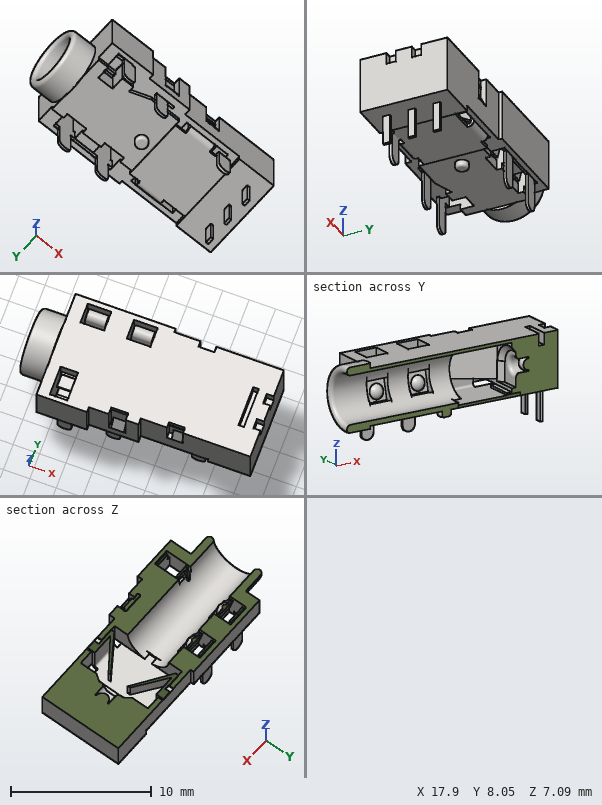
import cadquery as cq
import math


length = 17.9
height = 7.09
barrel_length = 2.0
barrel_radius = 5.0 / 2
lip_outer_round = 0.3
bore_radius = 3.7 / 2
lip_inner_round = 0.32
bore_end = 13.96

body_top = 2.11
body_underside = -1.83
foot_bottom = -2.25
front_left = 3.72
front_right = -4.33
middle_right = -3.94
rear_half_width = 3.45
first_step = 5.84
second_step = 9.6
rear_foot_start = 14.68

plinth_end = 9.49
plinth_left = 2.24
plinth_front_right = -2.85
plinth_rear_right = -2.92
plinth_notch_right = -2.36
plinth_taper_start = 5.26
plinth_taper_end = 6.87

peg_radius = 1.0 / 2
peg_x = 8.47
peg_bottom = -2.74
peg_round = 0.2

funnel_mouth_radius = 1.52
funnel_throat_radius = 1.1
funnel_length = 0.35
well_floor = -1.55
well_half_width = 1.11
well_mouth_half_width = 1.61
tip_hole_radius = 1.2 / 2
tip_hole_round = 0.29
tip_hole_depth = 1.07
stud_radius = 0.54

post_x = 16.43
post_thickness = 0.21
post_width = 0.54
post_pitch = 1.99
post_bottom = -4.53

top_pocket_x = 16.29
top_pocket_size = 0.41
top_pocket_width = 3.05
top_pocket_depth = 0.9
notch_length = 0.54
notch_width = 0.73
notch_offset = 1.0
notch_depth = 0.9

sheet = 0.2
leg_width = 1.04
leg_tip = barrel_radius - height
plate_top = -0.72

leaf_centres = (3.97, 7.48)
leaf_width = 1.52
leaf_window_width = 1.79
leaf_window_inner = 1.83
leaf_window_outer = 3.33
leaf_plate_outer = 3.3
leaf_arch_radius = 0.47
leaf_arch_z = 1.1
leaf_tip_y = 1.77
leaf_tip_z = -1.35
dimple_z = -0.68
dimple_base_radius = 0.57
dimple_height = 0.4
leaf_relief_inner = 1.35
leaf_relief_top = -0.18
leaf_relief_bottom = -1.43

sleeve_window_start = 2.9
sleeve_window_end = 4.22
sleeve_window_inner = -1.77
sleeve_window_outer = -4.0
sleeve_plate_outer = -3.94
sleeve_strip_start = 3.11
sleeve_strip_end = 4.17
sleeve_arch_radius = 0.4
sleeve_arch_z = 0.0
sleeve_shelf_top = 1.75
sleeve_shelf_start = -3.13
sleeve_tab_outer = -2.17
sleeve_tab_start = 3.03
sleeve_nose_y = -1.36
sleeve_nose_start = 3.2
sleeve_nose_radius = 0.5
sleeve_nose_top = 0.29
sleeve_nose_bottom = -0.52
front_leg_x = leaf_centres[0]

ring_plate_start = 6.96
ring_plate_outer = -3.4
ring_plate_top = 1.63
ring_window_start = 7.34
ring_window_end = 8.63
ring_window_bottom = -0.8
ring_barb_start = 7.5
ring_barb_end = 8.48
ring_barb_top = 0.07
middle_leg_x = leaf_centres[1]

clip_sheet = 0.25
clip_base_start = 9.49
clip_base_end = 14.68
clip_base_half_width = 2.5
clip_side_start = 10.45
clip_side_end = 12.71
clip_half_width = 3.03
clip_bend_radius = 0.43
clip_top = 1.41
clip_arm_bottom = -1.05
clip_arm_end = 13.42
clip_arm_gap = 0.75
clip_leg_x = 13.77
clip_leg_outer = -2.92
clip_leg_tip = -4.5
clip_leg_round = 0.1
clip_cavity_start = 10.1
clip_cavity_top = 1.6
clip_pad_start = 13.55
clip_pad_half_width = 1.79
clip_window_start = 11.58
clip_window_end = 12.78
clip_window_bottom = -0.15
clip_barb_start = 11.92
clip_barb_top = 0.77


def box(x0, x1, y0, y1, z0, z1):
    """Box between two opposite corners."""
    return cq.Workplane("XY").box(x1 - x0, y1 - y0, z1 - z0, centered=False).translate((x0, y0, z0))


def x_cylinder(x0, x1, radius):
    """Cylinder on the plug axis."""
    return cq.Workplane("YZ", origin=(x0, 0, 0)).circle(radius).extrude(x1 - x0)


def leg(x, y0, thickness, top, tip):
    """Flat solder leg with a half-round tip, from y0 to y0 + thickness."""
    half = leg_width / 2
    return (
        cq.Workplane("XZ", origin=(x, y0 + thickness, 0))
        .moveTo(-half, top)
        .lineTo(half, top)
        .lineTo(half, tip + half)
        .threePointArc((0, tip), (-half, tip + half))
        .close()
        .extrude(thickness)
    )


def barb(x0, x1, y_root, y_tip, bottom, top):
    """Wedge that leans out from y_root at its top to y_tip at its bottom."""
    return (
        cq.Workplane("YZ", origin=(x0, 0, 0))
        .polyline([(y_root, top), (y_root, bottom), (y_tip, bottom)])
        .close()
        .extrude(x1 - x0)
    )


def leaf_plate():
    start = leaf_centres[0] - leaf_window_width / 2
    end = leaf_centres[1] + leaf_window_width / 2
    return box(start, end, leaf_plate_outer - sheet, leaf_plate_outer, body_underside, plate_top)


def sleeve_plate():
    end = front_leg_x + leg_width / 2
    return box(sleeve_window_start, end, sleeve_plate_outer, sleeve_plate_outer + sheet,
               body_underside, plate_top)


def ring_plate():
    return box(ring_plate_start, ring_window_end, ring_plate_outer, ring_plate_outer + sheet,
               body_underside, ring_plate_top)


def housing_shell():
    """Outer shape: stepped block, plinth, rear foot, barrel, peg and rear posts."""
    outline = [
        (barrel_length, front_right),
        (first_step, front_right),
        (first_step, middle_right),
        (second_step, middle_right),
        (second_step, -rear_half_width),
        (length, -rear_half_width),
        (length, rear_half_width),
        (second_step, rear_half_width),
        (second_step, front_left),
        (barrel_length, front_left),
    ]
    shell = (
        cq.Workplane("XY", origin=(0, 0, body_underside))
        .polyline(outline)
        .close()
        .extrude(body_top - body_underside)
    )
    plinth = (
        cq.Workplane("XY", origin=(0, 0, foot_bottom))
        .polyline([
            (barrel_length, plinth_left),
            (barrel_length, plinth_front_right),
            (plinth_taper_start, plinth_front_right),
            (plinth_taper_start, plinth_notch_right),
            (plinth_taper_end, plinth_rear_right),
            (plinth_end, plinth_rear_right),
            (plinth_end, plinth_left),
        ])
        .close()
        .extrude(body_underside - foot_bottom)
    )
    foot = box(rear_foot_start, length, -rear_half_width, rear_half_width, foot_bottom, body_underside)
    barrel = x_cylinder(0, barrel_length, barrel_radius).faces("<X").edges().fillet(lip_outer_round)
    peg = (
        cq.Workplane("XY", origin=(peg_x, 0, peg_bottom))
        .circle(peg_radius)
        .extrude(foot_bottom - peg_bottom)
        .faces("<Z").edges().fillet(peg_round)
    )
    pad = box(clip_pad_start, rear_foot_start, -clip_pad_half_width, clip_pad_half_width,
              foot_bottom + clip_sheet, body_underside)
    shell = shell.union(plinth).union(foot).union(barrel).union(peg).union(pad)
    for row in (-1, 0, 1):
        y = row * post_pitch
        shell = shell.union(box(post_x, post_x + post_thickness, y - post_width / 2, y + post_width / 2,
                                post_bottom, foot_bottom))
    return shell


def plug_bore():
    """Main bore with a rounded mouth, then the funnel and the round-edged tip hole with a domed stud in it.

    Below the plug axis the funnel opens into a flat-backed well with sloping sides.
    """
    hole_start = bore_end + funnel_length
    hole_end = hole_start + tip_hole_depth
    mouth = bore_radius + lip_inner_round
    hole_mouth = tip_hole_radius + tip_hole_round
    diagonal = math.sqrt(0.5)
    lip_middle = (lip_inner_round * (1 - diagonal), mouth - lip_inner_round * diagonal)
    hole_middle = (hole_start + tip_hole_round * (1 - diagonal), hole_mouth - tip_hole_round * diagonal)
    well = (
        cq.Workplane("XY", origin=(0, 0, well_floor))
        .polyline([
            (bore_end, -well_mouth_half_width),
            (hole_start, -well_half_width),
            (hole_start, well_half_width),
            (bore_end, well_mouth_half_width),
        ])
        .close()
        .extrude(-well_floor)
    )
    round_bore = (
        cq.Workplane("XY")
        .lineTo(0, mouth)
        .threePointArc(lip_middle, (lip_inner_round, bore_radius))
        .lineTo(bore_end, bore_radius)
        .lineTo(bore_end, funnel_mouth_radius)
        .lineTo(hole_start, funnel_throat_radius)
        .lineTo(hole_start, hole_mouth)
        .threePointArc(hole_middle, (hole_start + tip_hole_round, tip_hole_radius))
        .lineTo(hole_end, tip_hole_radius)
        .lineTo(hole_end, stud_radius)
        .threePointArc((hole_end - stud_radius * diagonal, stud_radius * diagonal),
                       (hole_end - stud_radius, 0))
        .close()
        .revolve(360, (0, 0, 0), (1, 0, 0))
    )
    return round_bore.union(well)


def terminal_windows():
    """Openings for the springs and barbs of the terminals."""
    cuts = []
    for x in leaf_centres:
        cuts.append(box(x - leaf_window_width / 2, x + leaf_window_width / 2,
                        leaf_window_inner, leaf_window_outer, foot_bottom, body_top))
        cuts.append(box(x - leaf_window_width / 2, x + leaf_window_width / 2,
                        leaf_relief_inner, leaf_window_inner, leaf_relief_bottom, leaf_relief_top))
    cuts.append(box(sleeve_window_start, sleeve_window_end, sleeve_window_outer, sleeve_window_inner,
                    foot_bottom, body_top))
    cuts.append(box(ring_window_start, ring_window_end, middle_right, ring_plate_outer,
                    ring_window_bottom, body_top))
    clip_window = box(clip_window_start, clip_window_end, clip_half_width, rear_half_width,
                      clip_window_bottom, body_top)
    cuts.append(clip_window)
    cuts.append(clip_window.mirror("XZ"))
    return cuts


def rear_pockets():
    """Slot in the top face and the two notches in the rear edge."""
    cuts = [box(top_pocket_x, top_pocket_x + top_pocket_size, -top_pocket_width / 2, top_pocket_width / 2,
                body_top - top_pocket_depth, body_top)]
    for side in (-1, 1):
        y = side * notch_offset
        cuts.append(box(length - notch_length, length, y - notch_width / 2, y + notch_width / 2,
                        body_top - notch_depth, body_top))
    return cuts


def make_housing():
    clip_cavity = box(clip_cavity_start, bore_end, -clip_half_width, clip_half_width,
                      body_underside, clip_cavity_top)
    plate_slots = [leaf_plate(), sleeve_plate(), ring_plate()]
    body = housing_shell()
    for cut in [plug_bore(), clip_cavity, *plate_slots, *terminal_windows(), *rear_pockets()]:
        body = body.cut(cut)
    return body


def arched_leaf(x):
    outer = leaf_plate_outer
    arch_y = outer - leaf_arch_radius
    inside = leaf_arch_radius - sheet
    strip = (
        cq.Workplane("YZ", origin=(x - leaf_width / 2, 0, 0))
        .moveTo(outer, body_underside)
        .lineTo(outer, leaf_arch_z)
        .threePointArc((arch_y, leaf_arch_z + leaf_arch_radius), (arch_y - leaf_arch_radius, leaf_arch_z))
        .lineTo(leaf_tip_y, leaf_tip_z)
        .lineTo(leaf_tip_y + sheet, leaf_tip_z)
        .lineTo(arch_y - inside, leaf_arch_z)
        .threePointArc((arch_y, leaf_arch_z + inside), (outer - sheet, leaf_arch_z))
        .lineTo(outer - sheet, body_underside)
        .close()
        .extrude(leaf_width)
    )
    ball_radius = (dimple_base_radius**2 + dimple_height**2) / (2 * dimple_height)
    slope = (arch_y - leaf_arch_radius - leaf_tip_y) / (leaf_arch_z - leaf_tip_z)
    base_y = leaf_tip_y + slope * (dimple_z - leaf_tip_z)
    reach = ball_radius + leaf_width
    tilt = math.degrees(math.atan(slope))
    keep = (
        box(x - reach, x + reach, -reach, sheet / 2, -reach, reach)
        .rotate((0, 0, 0), (1, 0, 0), -tilt)
        .translate((0, base_y, dimple_z))
    )
    dimple = (
        cq.Workplane("XY")
        .sphere(ball_radius)
        .translate((x, base_y + ball_radius - dimple_height, dimple_z))
        .intersect(keep)
    )
    return strip.union(dimple)


def make_leaf_terminal():
    terminal = leaf_plate()
    for x in leaf_centres:
        terminal = terminal.union(arched_leaf(x))
        terminal = terminal.union(leg(x, leaf_plate_outer - sheet, sheet, body_underside, leg_tip))
    return terminal


def make_sleeve_terminal():
    outer = sleeve_plate_outer
    radius = sleeve_arch_radius
    inside = radius - sheet
    arch_y = outer + radius
    arch_z = sleeve_arch_z
    bridge_start = arch_y + math.sqrt(radius**2 - sheet**2)
    strip = (
        cq.Workplane("YZ", origin=(sleeve_strip_start, 0, 0))
        .moveTo(outer, body_underside)
        .lineTo(outer, arch_z)
        .threePointArc((arch_y, arch_z + radius), (bridge_start, arch_z + sheet))
        .lineTo(sleeve_tab_outer, arch_z + sheet)
        .lineTo(sleeve_tab_outer, arch_z)
        .lineTo(arch_y + inside, arch_z)
        .threePointArc((arch_y, arch_z + inside), (outer + sheet, arch_z))
        .lineTo(outer + sheet, body_underside)
        .close()
        .extrude(sleeve_strip_end - sleeve_strip_start)
    )
    tab = box(sleeve_tab_start, sleeve_strip_end, sleeve_tab_outer, sleeve_tab_outer + sheet,
              sleeve_nose_bottom, sleeve_shelf_top - sheet / 2)
    shelf = box(sleeve_strip_start, sleeve_strip_end, sleeve_shelf_start, sleeve_tab_outer,
                sleeve_shelf_top - sheet, sleeve_shelf_top)
    curl = sleeve_nose_radius
    curl_inside = curl - sheet
    curl_x = sleeve_nose_start + curl
    curl_y = sleeve_nose_y - curl
    diagonal = math.sqrt(0.5)
    nose = (
        cq.Workplane("XY", origin=(0, 0, sleeve_nose_bottom))
        .moveTo(sleeve_nose_start, sleeve_tab_outer)
        .lineTo(sleeve_nose_start, curl_y)
        .threePointArc((curl_x - curl * diagonal, curl_y + curl * diagonal), (curl_x, sleeve_nose_y))
        .lineTo(curl_x, sleeve_nose_y - sheet)
        .threePointArc((curl_x - curl_inside * diagonal, curl_y + curl_inside * diagonal),
                       (sleeve_nose_start + sheet, curl_y))
        .lineTo(sleeve_nose_start + sheet, sleeve_tab_outer)
        .close()
        .extrude(sleeve_nose_top - sleeve_nose_bottom)
    )
    solder_leg = leg(front_leg_x, outer, sheet, body_underside, leg_tip)
    return sleeve_plate().union(strip).union(tab).union(shelf).union(nose).union(solder_leg)


def make_ring_terminal():
    plate_barb = barb(ring_barb_start, ring_barb_end, ring_plate_outer, middle_right,
                      ring_window_bottom, ring_barb_top)
    solder_leg = leg(middle_leg_x, ring_plate_outer, sheet, body_underside, leg_tip)
    return ring_plate().union(plate_barb).union(solder_leg)


def clip_channel():
    """The U section that wraps under the bore."""
    section = box(clip_side_start, clip_side_end, -clip_half_width, clip_half_width, foot_bottom, clip_top)
    section = section.edges("|X and <Z").fillet(clip_bend_radius)
    hollow = box(clip_side_start, clip_side_end, clip_sheet - clip_half_width, clip_half_width - clip_sheet,
                 foot_bottom + clip_sheet, clip_top)
    hollow = hollow.edges("|X and <Z").fillet(clip_bend_radius - clip_sheet)
    return section.cut(hollow)


def clip_arm():
    """Arm on the +Y side, folded in from the front edge of the channel wall towards the plug axis."""
    wall_inside = clip_half_width - clip_sheet
    return (
        cq.Workplane("XY", origin=(0, 0, clip_arm_bottom))
        .polyline([
            (clip_side_start, wall_inside),
            (clip_side_start + 2 * clip_sheet, wall_inside),
            (clip_arm_end, clip_arm_gap + clip_sheet),
            (clip_arm_end, clip_arm_gap),
        ])
        .close()
        .extrude(clip_top - clip_arm_bottom)
    )


def clip_leg():
    """Leg bent down from the base plate, with a small round inside the bend."""
    inner = clip_leg_outer + clip_sheet
    gusset_y = inner + clip_leg_round
    gusset_z = foot_bottom - clip_leg_round
    diagonal = math.sqrt(0.5)
    bend = (
        cq.Workplane("YZ", origin=(clip_leg_x - leg_width / 2, 0, 0))
        .moveTo(clip_leg_outer, foot_bottom)
        .threePointArc((inner - clip_sheet * diagonal, foot_bottom + clip_sheet * diagonal),
                       (inner, foot_bottom + clip_sheet))
        .lineTo(-clip_base_half_width, foot_bottom + clip_sheet)
        .lineTo(-clip_base_half_width, foot_bottom)
        .lineTo(gusset_y, foot_bottom)
        .threePointArc((gusset_y - clip_leg_round * diagonal, gusset_z + clip_leg_round * diagonal),
                       (inner, gusset_z))
        .lineTo(clip_leg_outer, gusset_z)
        .close()
        .extrude(leg_width)
    )
    return bend.union(leg(clip_leg_x, clip_leg_outer, clip_sheet, foot_bottom, clip_leg_tip))


def make_clip():
    base = box(clip_base_start, clip_base_end, -clip_base_half_width, clip_base_half_width,
               foot_bottom, foot_bottom + clip_sheet)
    side_barb = barb(clip_barb_start, clip_side_end, clip_half_width, rear_half_width,
                     clip_window_bottom, clip_barb_top)
    clip = clip_channel().union(base).union(clip_leg())
    for part in (clip_arm(), side_barb):
        clip = clip.union(part).union(part.mirror("XZ"))
    return clip


housing = make_housing()
leaf_terminal = make_leaf_terminal()
sleeve_terminal = make_sleeve_terminal()
ring_terminal = make_ring_terminal()
clip = make_clip()

result = cq.Compound.makeCompound([
    housing.solids().val(),
    leaf_terminal.solids().val(),
    sleeve_terminal.solids().val(),
    ring_terminal.solids().val(),
    clip.solids().val(),
])